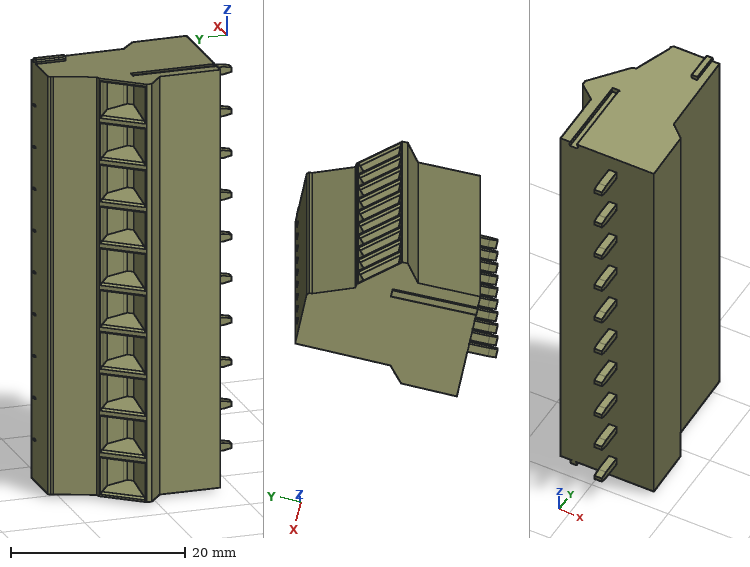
import cadquery as cq
import math

pole_count = 10
pole_pitch = 5.1
block_length = pole_count * pole_pitch

base_left = 2.05
base_right = 14.25
shoulder_right = 14.15
shoulder_height = 6.6
neck_right = 12.3
neck_height = 8.25
top_left = 5.9
top_right = 12.15
housing_height = 19.5
top_chamfer = 0.25
top_wall_bottom = 18.9
step_outer = (3.7, 14.15)
step_inner = (4.15, 14.25)
nose_top = 9.6
nose_bottom = 9.0
nose_root = 7.35

pin_left = 8.35
pin_width = 1.0
pin_thickness = 0.95
pin_length = 3.5
pin_tip_length = 1.0
pin_tip_thickness = 0.5

entry_section = [
    (0.15, 0),
    (5.65, 0),
    (5.55, 0.45),
    (5.45, 1.6),
    (3.95, 2.9),
    (3.6, 3.2),
    (2.8, 3.2),
]
entry_depth = 3.2
entry_rim_depth = 0.3
entry_mouth_width = 4.55
entry_rim_width = 4.1
entry_floor_width = 2.7

joint_height = 0.5
joint_widest_at = 0.3
base_joint_x = 3.75
base_rib_height = 10.05
base_groove_height = 10.15
groove_clearance = 0.1
top_joint_x = 10.85
top_joint_bottom = 15.9
joint_neck_width = 0.6
joint_wide_width = 0.95
joint_end_width = 0.75

bead_width = 0.7
bead_thickness = 0.1
bead_height = 0.15


def make_housing():
    outline = [
        (base_left, 0),
        (base_right, 0),
        (shoulder_right, shoulder_height),
        (neck_right, neck_height),
        (top_right, housing_height),
        (top_left + top_chamfer, housing_height),
        (top_left, housing_height - top_chamfer),
        (top_left, top_wall_bottom),
        step_inner,
        step_outer,
        (0, nose_top),
        (0, nose_bottom),
        (base_left, nose_root),
    ]
    return cq.Workplane("XY").polyline(outline).close().extrude(block_length)


def make_pin(center_z):
    """Flat pin pointing to -Y whose end tapers in thickness."""
    shank_end = -(pin_length - pin_tip_length)
    half = pin_thickness / 2
    tip_half = pin_tip_thickness / 2
    outline = [
        (0, center_z - half),
        (shank_end, center_z - half),
        (-pin_length, center_z - tip_half),
        (-pin_length, center_z + tip_half),
        (shank_end, center_z + half),
        (0, center_z + half),
    ]
    return cq.Workplane("YZ", origin=(pin_left, 0, 0)).polyline(outline).close().extrude(pin_width)


def make_entry(center_z):
    """Funnel below the sloped face: its cross-section meets side walls that close in with depth."""
    face_length = math.hypot(step_outer[0], step_outer[1] - nose_top)
    along = (step_outer[0] / face_length, (step_outer[1] - nose_top) / face_length, 0)
    origin = (0, nose_top, center_z)

    section_plane = cq.Plane(origin=origin, xDir=along, normal=(0, 0, 1))
    section = (
        cq.Workplane(section_plane)
        .polyline([(distance, -depth) for distance, depth in entry_section])
        .close()
        .extrude(entry_mouth_width / 2, both=True)
    )

    walls_plane = cq.Plane(origin=origin, xDir=(0, 0, 1), normal=along)
    walls = (
        cq.Workplane(walls_plane)
        .polyline([
            (-entry_mouth_width / 2, 0),
            (-entry_rim_width / 2, entry_rim_depth),
            (-entry_floor_width / 2, entry_depth),
            (entry_floor_width / 2, entry_depth),
            (entry_rim_width / 2, entry_rim_depth),
            (entry_mouth_width / 2, 0),
        ])
        .close()
        .extrude(face_length)
    )
    return section.intersect(walls)


def make_joint(center_x, root_z, y_start, y_end, clearance=0.0):
    """Dovetail bar along Y that points to -Z from its root."""
    neck = joint_neck_width / 2 + clearance
    wide = joint_wide_width / 2 + clearance
    end = joint_end_width / 2 + clearance
    widest_z = root_z - joint_widest_at
    end_z = root_z - joint_height - clearance
    outline = [
        (center_x - neck, root_z),
        (center_x - wide, widest_z),
        (center_x - end, end_z),
        (center_x + end, end_z),
        (center_x + wide, widest_z),
        (center_x + neck, root_z),
    ]
    plane = cq.Workplane("XZ", origin=(0, y_start, 0))
    return plane.polyline(outline).close().extrude(y_start - y_end)


def make_top_joint():
    """Dovetail bar that points to +Z from the upper end of the block."""
    bar = make_joint(top_joint_x, 0, top_joint_bottom, housing_height)
    return bar.mirror("XY").translate((0, 0, block_length))


def make_bead(center_z):
    return cq.Workplane("XY").box(bead_width, 2 * bead_height, bead_thickness).translate(
        (top_joint_x, housing_height, center_z)
    )


result = make_housing()

for pole in range(pole_count):
    pole_center = (pole + 0.5) * pole_pitch
    result = result.cut(make_entry(pole_center))
    result = result.union(make_pin(pole_center))

for boundary in range(1, pole_count):
    result = result.union(make_bead(boundary * pole_pitch))

result = result.union(make_joint(base_joint_x, 0, 0, base_rib_height))
result = result.cut(make_joint(base_joint_x, block_length, 0, base_groove_height, groove_clearance))
result = result.union(make_top_joint())